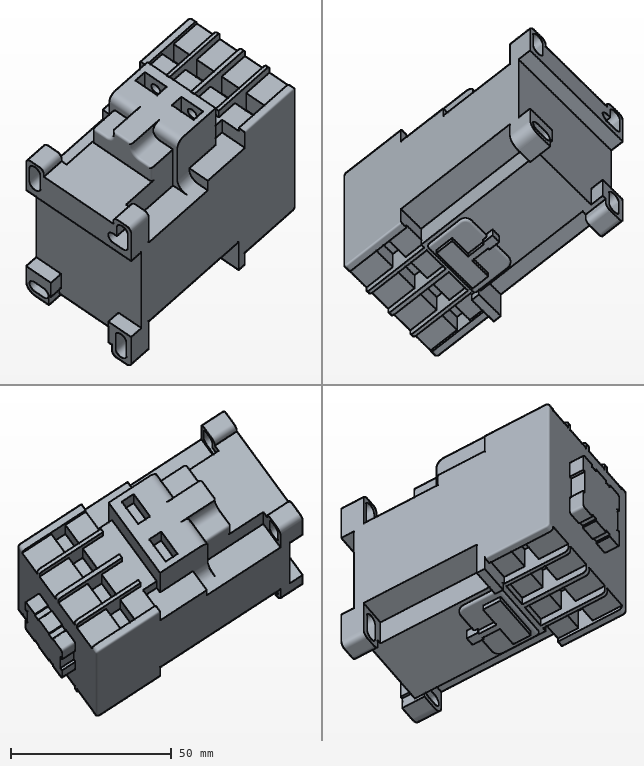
import cadquery as cq

WIDTH = 43.4
DEPTH = 82.8
HEIGHT = 76.35
HALF_WIDTH = WIDTH / 2
JOIN = 0.8

BODY_FRONT = 4.8
BODY_BOTTOM = 4.7
BODY_TOP = 64.5
CORE_HALF_WIDTH = 12.25
SHELF_REAR = 36.2
SHELF_LOW = 53.6
SHELF_HIGH = 58.3
RECESS_TOP = 14.9

BLOCK_FRONT = 53.7
BLOCK_REAR = 77.75
BLOCK_TOP = 67.7
FIN_HEIGHT = BLOCK_TOP - BODY_TOP
FIN_RADIUS = 1.4
PANEL_RADIUS = 0.7
PANEL_INSET = 1.7
BAY_INNER = 0.75
FIN_INNER = 9.6
FIN_OUTER = 10.85
BAY_OUTER = 19.1
BAYS = [
    (-BAY_OUTER, -FIN_OUTER),
    (-FIN_INNER, -BAY_INNER),
    (BAY_INNER, FIN_INNER),
    (FIN_OUTER, BAY_OUTER),
]
PIT_FRONT = 61.4
PIT_REAR = 66.7
PIT_DEPTH = 8.3

HEAD_HALF_WIDTH = 14.1
HEAD_FRONT = 30.55
HEAD_REAR = 48.6
HEAD_RADIUS = 3.0
HEAD_FOOT_RADIUS = 3.8
WINDOW_INNER = 3.1
WINDOW_OUTER = 12.0
WINDOW_FRONT = 40.6
WINDOW_REAR = 45.05
WINDOW_DEPTH = 8.3
WINDOW_HOLE_RADIUS = 1.8
WINDOW_HOLE_HEIGHT = 71.7
WINDOW_HOLE_DEPTH = 2.5
STEM_HALF_WIDTH = 4.0
STEM_FRONT = 20.5
SHOULDER_TOP = 71.2
SHOULDER_RADIUS = 3.0
STEM_EDGE_RADIUS = 0.9

FOOT_DEPTH = 8.4
FLANGE_BOTTOM = 52.1
LUG_INNER = 14.3
LUG_RADIUS = 2.0
SLOT_WIDTH = 4.5
SLOT_OUTER = 20.3
TOP_SLOT_LOW = 55.15
TOP_SLOT_HIGH = 66.2
SIDE_SLOT_INNER = 12.25
LEFT_FOOT_BOTTOM = 3.3
LEFT_FOOT_RADIUS = 4.0
LEFT_FOOT_TAB = 11.4
LEFT_FOOT_STEP = BODY_BOTTOM + FIN_HEIGHT
LEFT_SLOT_LOW = 5.4
LEFT_SLOT_INNER = 12.4
RIGHT_FOOT_INNER = 13.75
RIGHT_SLOT_OUTER = 19.7
RIGHT_SLOT_LOW = 1.7
RIGHT_SLOT_HIGH = 12.9

CLIP_BOTTOM = 0.9
CLIP_HALF_WIDTH = 8.45
CLIP_REAR = 50.75
CLIP_FRONT = 44.2
NECK_HALF_WIDTH = 1.0
RIB_HALF_WIDTH = 1.6
RIB_FRONT = 33.5
RIB_REAR = 37.7
PLATE_BOTTOM = 2.8
PLATE_TOP = 4.55
PLATE_HALF_WIDTH = 11.3
PLATE_REAR = 52.3
PLATE_FRONT = 35.9
PLATE_FRONT_RADIUS = 2.7
PLATE_REAR_RADIUS = 1.0
PLATE_EDGE_RADIUS = 0.8
STOP_INNER = 11.4
STOP_BOTTOM = 1.2

CARRIER_HALF_WIDTH = 10.0
CARRIER_BOTTOM = 23.85
CARRIER_TOP = 48.8
CARRIER_RADIUS = 0.9
CARRIER_NOTCH_DEPTH = 0.9
CARRIER_NOTCH_INNER = 2.8
CARRIER_NOTCH_OUTER = 4.9
SIDE_NOTCH_LOW = 31.3
SIDE_NOTCH_HIGH = 41.4


def block(x_range, y_range, z_range):
    """Box spanning the given coordinate ranges."""
    spans = (x_range, y_range, z_range)
    lengths = [high - low for low, high in spans]
    lows = tuple(low for low, high in spans)
    return cq.Workplane("XY").box(*lengths, centered=False).translate(lows)


def both_sides(solid):
    """The solid joined with its mirror image across the plane X = 0."""
    return solid.union(solid.mirror("YZ"))


def slot(x_range, z_range):
    """Round-ended slot cutter running through the depth of a foot."""
    x_length = x_range[1] - x_range[0]
    z_length = z_range[1] - z_range[0]
    angle = 0 if x_length > z_length else 90
    return (
        cq.Workplane("XZ")
        .center(sum(x_range) / 2, sum(z_range) / 2)
        .slot2D(max(x_length, z_length), SLOT_WIDTH, angle)
        .extrude(-FOOT_DEPTH)
    )


def make_body():
    """Main box with stepped shelves along its upper sides and recesses along its lower sides."""
    body = block((-HALF_WIDTH, HALF_WIDTH), (BODY_FRONT, BLOCK_FRONT), (BODY_BOTTOM, BODY_TOP))
    beside_core = (CORE_HALF_WIDTH, HALF_WIDTH + JOIN)
    low_shelf = block(beside_core, (FOOT_DEPTH, SHELF_REAR), (SHELF_LOW, HEIGHT))
    high_shelf = block(beside_core, (SHELF_REAR - JOIN, BLOCK_FRONT), (SHELF_HIGH, HEIGHT))
    recess = block(beside_core, (0, BLOCK_FRONT), (0, RECESS_TOP))
    return body.cut(both_sides(low_shelf.union(high_shelf).union(recess)))


def make_terminal_block():
    """Terminal block whose middle fins stand proud of the side panels, above and below."""
    y_range = (BLOCK_FRONT, BLOCK_REAR)
    fin_slab = block((-BAY_OUTER, BAY_OUTER), y_range, (BODY_BOTTOM, BLOCK_TOP))
    panel_z = (BODY_BOTTOM + PANEL_INSET, BLOCK_TOP - PANEL_INSET)
    panel_slab = block((-HALF_WIDTH, HALF_WIDTH), y_range, panel_z)
    fin_slab = fin_slab.edges("|X and >Y").fillet(FIN_RADIUS)
    panel_slab = panel_slab.edges("|X and >Y").fillet(FIN_RADIUS)
    panel_slab = panel_slab.faces("<X or >X").edges("not <Y").fillet(PANEL_RADIUS)
    terminals = fin_slab.union(panel_slab)
    for bay in BAYS:
        bay_y = (BLOCK_FRONT - JOIN, BLOCK_REAR + JOIN)
        pit_y = (PIT_FRONT, PIT_REAR)
        floor = BODY_BOTTOM + FIN_HEIGHT
        terminals = terminals.cut(block(bay, bay_y, (BODY_TOP, HEIGHT)))
        terminals = terminals.cut(block(bay, pit_y, (BODY_TOP - PIT_DEPTH, HEIGHT)))
        terminals = terminals.cut(block(bay, bay_y, (0, floor)))
        terminals = terminals.cut(block(bay, pit_y, (0, floor + PIT_DEPTH)))
    return terminals


def make_head():
    """Coil head with two top windows, each with a blind hole in its rear wall."""
    head = block((-HEAD_HALF_WIDTH, HEAD_HALF_WIDTH), (HEAD_FRONT, HEAD_REAR), (SHELF_LOW, HEIGHT))
    head = head.edges("|X and <Y and >Z").fillet(HEAD_RADIUS)
    window = block(
        (WINDOW_INNER, WINDOW_OUTER), (WINDOW_FRONT, WINDOW_REAR), (HEIGHT - WINDOW_DEPTH, HEIGHT + JOIN)
    )
    hole = (
        cq.Workplane("XZ", origin=(0, WINDOW_REAR, 0))
        .center((WINDOW_INNER + WINDOW_OUTER) / 2, WINDOW_HOLE_HEIGHT)
        .circle(WINDOW_HOLE_RADIUS)
        .extrude(-WINDOW_HOLE_DEPTH)
    )
    return head.cut(both_sides(window.union(hole)))


def make_head_foot():
    """Concave quarter-round between the side of the head and the low shelf."""
    radius = HEAD_FOOT_RADIUS
    x_range = (HEAD_HALF_WIDTH - JOIN, HEAD_HALF_WIDTH + radius)
    corner = block(x_range, (HEAD_FRONT, SHELF_REAR), (SHELF_LOW - JOIN, SHELF_LOW + radius))
    hollow = (
        cq.Workplane("XZ", origin=(0, HEAD_FRONT, 0))
        .center(HEAD_HALF_WIDTH + radius, SHELF_LOW + radius)
        .circle(radius)
        .extrude(HEAD_FRONT - SHELF_REAR)
    )
    return both_sides(corner.cut(hollow))


def make_stem():
    """Stem in front of the head, flaring through concave rounds into flat shoulders."""
    flare = STEM_HALF_WIDTH + SHOULDER_RADIUS
    round_top = SHOULDER_TOP + SHOULDER_RADIUS
    stem = (
        cq.Workplane("XZ", origin=(0, STEM_FRONT, 0))
        .moveTo(-CORE_HALF_WIDTH, BODY_TOP - JOIN)
        .lineTo(-CORE_HALF_WIDTH, SHOULDER_TOP)
        .lineTo(-flare, SHOULDER_TOP)
        .radiusArc((-STEM_HALF_WIDTH, round_top), -SHOULDER_RADIUS)
        .lineTo(-STEM_HALF_WIDTH, HEIGHT)
        .lineTo(STEM_HALF_WIDTH, HEIGHT)
        .lineTo(STEM_HALF_WIDTH, round_top)
        .radiusArc((flare, SHOULDER_TOP), -SHOULDER_RADIUS)
        .lineTo(CORE_HALF_WIDTH, SHOULDER_TOP)
        .lineTo(CORE_HALF_WIDTH, BODY_TOP - JOIN)
        .close()
        .extrude(STEM_FRONT - HEAD_FRONT - HEAD_RADIUS)
    )
    left_top_edge = cq.selectors.BoxSelector(
        (-CORE_HALF_WIDTH - JOIN, STEM_FRONT, SHOULDER_TOP - JOIN),
        (-CORE_HALF_WIDTH + JOIN, HEAD_REAR, SHOULDER_TOP + JOIN),
    )
    front_edges = stem.faces("<Y").edges("not <Z")
    return front_edges.add(stem.edges("|Y").edges(left_top_edge)).fillet(STEM_EDGE_RADIUS)


def make_top_feet():
    """Upper flange with two lugs, and the slots to cut through them."""
    foot_y = (0, FOOT_DEPTH)
    flange = block((-HALF_WIDTH, HALF_WIDTH), foot_y, (FLANGE_BOTTOM, BODY_TOP))
    lug = block((LUG_INNER, HALF_WIDTH), foot_y, (FLANGE_BOTTOM, BLOCK_TOP))
    lug = lug.edges("|Y and >Z").fillet(LUG_RADIUS)
    upright = slot((SLOT_OUTER - SLOT_WIDTH, SLOT_OUTER), (TOP_SLOT_LOW, TOP_SLOT_HIGH))
    sideways = slot((SIDE_SLOT_INNER, SLOT_OUTER), (TOP_SLOT_LOW, TOP_SLOT_LOW + SLOT_WIDTH))
    return flange.union(both_sides(lug)), both_sides(upright).union(sideways)


def make_bottom_feet():
    """Two different lower feet, and the slots to cut through them."""
    foot_y = (0, FOOT_DEPTH)
    left = block((-HALF_WIDTH, -CORE_HALF_WIDTH), foot_y, (LEFT_FOOT_BOTTOM, RECESS_TOP))
    left = left.edges("|Y and <X and <Z").fillet(LEFT_FOOT_RADIUS)
    left_tab = block((-CORE_HALF_WIDTH - JOIN, -LEFT_FOOT_TAB), foot_y, (LEFT_FOOT_STEP, RECESS_TOP))
    right = block((RIGHT_FOOT_INNER, HALF_WIDTH), foot_y, (0, RECESS_TOP))
    right = right.edges("|Y and <Z").fillet(LUG_RADIUS)
    right_web = block((CORE_HALF_WIDTH, RIGHT_FOOT_INNER + JOIN), foot_y, (BODY_BOTTOM, RECESS_TOP))
    feet = left.union(left_tab).union(right).union(right_web)
    left_slot = slot((-SLOT_OUTER, -LEFT_SLOT_INNER), (LEFT_SLOT_LOW, LEFT_SLOT_LOW + SLOT_WIDTH))
    right_slot = slot((RIGHT_SLOT_OUTER - SLOT_WIDTH, RIGHT_SLOT_OUTER), (RIGHT_SLOT_LOW, RIGHT_SLOT_HIGH))
    return feet, left_slot.union(right_slot)


def make_clip():
    """Clip and its rib hanging below a round-edged plate, with a stop block beside them."""
    plate_z = (PLATE_BOTTOM, PLATE_TOP)
    plate = block((-PLATE_HALF_WIDTH, PLATE_HALF_WIDTH), (PLATE_FRONT, PLATE_REAR), plate_z)
    plate = plate.edges("|Z and <Y").fillet(PLATE_FRONT_RADIUS)
    plate = plate.edges("|Z and >Y").fillet(PLATE_REAR_RADIUS)
    plate = plate.faces("<Z or >Z").edges().fillet(PLATE_EDGE_RADIUS)
    clip_z = (CLIP_BOTTOM, BODY_BOTTOM + JOIN)
    clip = block((-CLIP_HALF_WIDTH, CLIP_HALF_WIDTH), (CLIP_FRONT, CLIP_REAR), clip_z)
    neck = block((-NECK_HALF_WIDTH, NECK_HALF_WIDTH), (RIB_FRONT, CLIP_REAR), clip_z)
    rib = block((-RIB_HALF_WIDTH, RIB_HALF_WIDTH), (RIB_FRONT, RIB_REAR), clip_z)
    stop = block((STOP_INNER, HALF_WIDTH), (CLIP_REAR, BLOCK_FRONT), (STOP_BOTTOM, RECESS_TOP))
    return plate.union(clip).union(neck).union(rib).union(stop)


def make_carrier():
    """Rounded contact carrier with shallow notches around its rim."""
    half = CARRIER_HALF_WIDTH
    carrier = block((-half, half), (BLOCK_REAR - JOIN, DEPTH), (CARRIER_BOTTOM, CARRIER_TOP))
    carrier = carrier.edges("|Y").fillet(CARRIER_RADIUS)
    depth = CARRIER_NOTCH_DEPTH
    notch_y = (BLOCK_REAR, DEPTH + JOIN)
    side = block((half - depth, half + JOIN), notch_y, (SIDE_NOTCH_LOW, SIDE_NOTCH_HIGH))
    notches = side
    bottom_z = (CARRIER_BOTTOM - JOIN, CARRIER_BOTTOM + depth)
    top_z = (CARRIER_TOP - depth, CARRIER_TOP + JOIN)
    for z_range in (bottom_z, top_z):
        notches = notches.union(block((CARRIER_NOTCH_INNER, CARRIER_NOTCH_OUTER), notch_y, z_range))
    return carrier.cut(both_sides(notches))


top_feet, top_slots = make_top_feet()
bottom_feet, bottom_slots = make_bottom_feet()

result = make_body()
for feature in (
    make_terminal_block(),
    make_head(),
    make_head_foot(),
    make_stem(),
    top_feet,
    bottom_feet,
    make_clip(),
    make_carrier(),
):
    result = result.union(feature)
result = result.cut(top_slots).cut(bottom_slots)